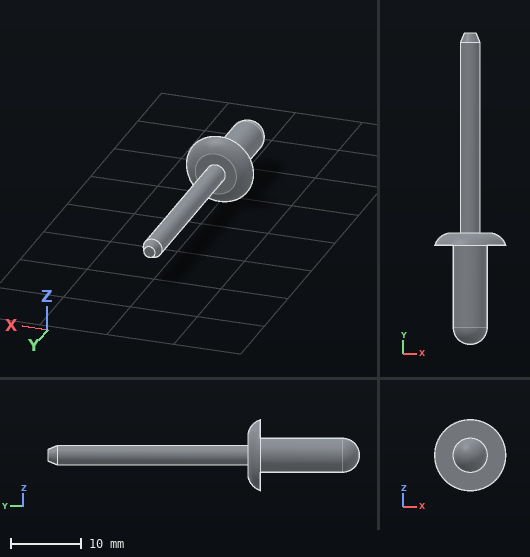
import cadquery as cq
import math

overall_length = 43.9

body_radius = 2.4
body_length = 13.95

head_radius = 5.025
head_height = 1.75
head_top_radius = 3.07
rim_bulge = 0.35

mandrel_radius = 1.4
tip_radius = 0.85
tip_length = 1.35

body_end = -body_length
dome_start = body_end + body_radius
mandrel_end = overall_length - body_length

dome_mid_radius = body_radius * math.sin(math.radians(45))
dome_mid_y = dome_start - body_radius * math.cos(math.radians(45))

rim_width = head_radius - head_top_radius
rim_chord = math.hypot(rim_width, head_height)
rim_mid_radius = (head_radius + head_top_radius) / 2 + rim_bulge * head_height / rim_chord
rim_mid_y = head_height / 2 + rim_bulge * rim_width / rim_chord

profile = (
    cq.Workplane("XY")
    .moveTo(0, body_end)
    .threePointArc((dome_mid_radius, dome_mid_y), (body_radius, dome_start))
    .lineTo(body_radius, 0)
    .lineTo(head_radius, 0)
    .threePointArc((rim_mid_radius, rim_mid_y), (head_top_radius, head_height))
    .lineTo(mandrel_radius, head_height)
    .lineTo(mandrel_radius, mandrel_end - tip_length)
    .lineTo(tip_radius, mandrel_end)
    .lineTo(0, mandrel_end)
    .close()
)

result = profile.revolve(360, (0, 0, 0), (0, 1, 0))